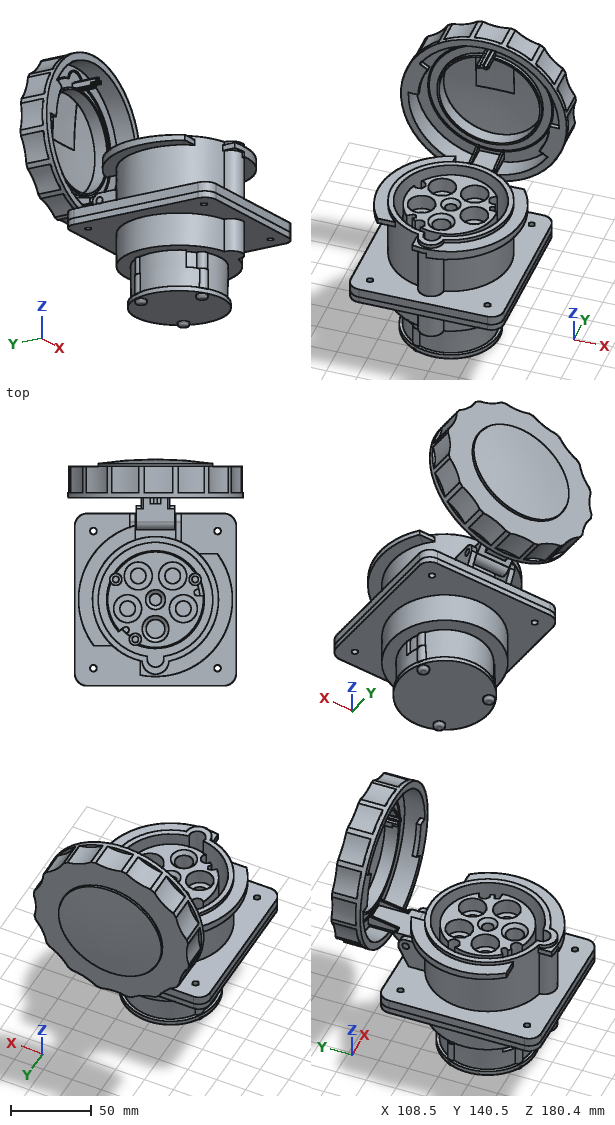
import cadquery as cq
import math


flange_x, flange_y = 100.3, 107.0
flange_thickness = 6.07
gasket_thickness = 4.23
corner_radius = 8.0
mount_hole_radius = 2.0
mount_hole_x, mount_hole_y = 38.45, 42.5

barrel_radius = 39.05
barrel_bore_radius = 35.5
barrel_top = 40.65
barrel_bottom = -31.5
barrel_floor = -28.0
key_boss_y = -37.9
key_boss_radius = 8.3
key_slot_y = -36.6
key_slot_radius = 5.2

ramp_radius = 47.7
ramp_top = 38.2
ramp_thick_end = 31.5
ramp_thin_end = 34.6
ramp_sweep_angle = 130.0
ramp_sweep_width = 22.0
ramp_rise = ramp_thin_end - ramp_thick_end
ramp_rise_angle = 126.0
ramp_thin_edge_y = 28.45
front_ramp_edge_x = -9.4
rear_ramp_edge_x = -12.4

hinge_y, hinge_z = 48.4, 16.2
pin_radius = 2.3
bracket_inner_x, bracket_outer_x = 12.4, 16.1
knuckle_radius = 5.0
bracket_foot_y = 46.4
arm_knuckle_half_width = 12.0
arm_neck_half_width = 8.9
arm_rib_thickness = 1.4
arm_shoulder_y = 58.2
arm_shoulder_z = 18.8
arm_shoulder_slope_y = 56.4
arm_shoulder_drop = 1.0
arm_top = hinge_z + knuckle_radius
arm_bottom = 15.8
arm_rib_start_z = 21.8
arm_rib_end_z = 25.6

lid_z = 64.73
lid_radius = 108.55 / 2
lid_face = 63.0
lid_rim = 3.1
lid_back = 82.6
cap_plate_radius = 35.6
cap_plate_back = 84.3
dome_back = 87.0
cavity_radius = 49.3
cavity_floor = 76.5
recess_radius = 33.0
recess_edge_y = 83.0
recess_centre_y = 85.3
inner_lip_radius = 34.3
inner_lip_face = 74.0
seal_lip_radius = 41.0
seal_lip_width = 0.7
seal_lip_height = 0.5
seal_bulge_offset = 38.2
seal_bulge_radius = 8.5
label_width, label_depth = 24.8, 0.2
scallop_count = 16
scallop_radius = 32.0
scallop_depth = 2.0
scallop_phase = 88.0
lug_inner_radius = 43.0
lug_thickness = 3.0
lug_start_angle, lug_sweep = 148.0, 30.0

key_front = 59.3
key_half_width = 3.2
key_bottom, key_top = 34.0, 37.7
key_tip_bottom = 35.8
key_nub_half_width, key_nub_top = 1.0, 39.2
key_channel_half_width, key_channel_top = 1.8, 36.3
key_rib_half_width, key_rib_top = 0.6, 34.7

insert_top = 37.7
insert_bottom = -55.8
insert_top_radius = 29.6
insert_radius = 30.3
insert_bottom_radius = 30.0
contact_circle = 18.15
contact_count = 5
phase_radius, phase_depth = 8.65, 10.2
contact_radius = 4.8
earth_radius, earth_mouth_radius = 5.8, 8.25
pilot_radius, pilot_mouth_radius = 3.7, 6.15
contact_hole_depth = 60.0

post_circle = 27.6
post_radius = 3.7
post_foot_radius = 3.9
post_top = 0.0
post_angles = [27.0, 153.0, -117.0]
notched_post_angles = [27.0, -117.0]
tabbed_post_angle = -117.0
notch_bottom = -42.5
notch_slot_y = 4.4
notch_slot_half_width = 1.9
notch_slot_inner_x = 25.8
notch_floor_radius = 27.6
cover_radius = 32.0
cover_thickness = 3.1
screw_shank_radius = 2.0
screw_head_radius = 3.8
screw_head_height = 2.5
screw_head_edge = 0.9
screw_head_flat_radius = 1.6


def cylinder(radius, bottom, top, x=0.0, y=0.0):
    """Cylinder along Z between two heights."""
    return cq.Workplane("XY", origin=(x, y, bottom)).circle(radius).extrude(top - bottom)


def block(x_min, x_max, y_min, y_max, z_min, z_max):
    """Box given by its six limits."""
    size = (x_max - x_min, y_max - y_min, z_max - z_min)
    return cq.Workplane("XY").box(*size, centered=False).translate((x_min, y_min, z_min))


def polar(radius, angle):
    """Point at a radius and an angle in degrees."""
    turn = math.radians(angle)
    return radius * math.cos(turn), radius * math.sin(turn)


def side_profile(points, x_min, x_max):
    """Prism along X whose outline is given as (y, z) points."""
    return cq.Workplane("YZ", origin=(x_min, 0, 0)).polyline(points).close().extrude(x_max - x_min)


def hinge_cylinder(radius, half_width):
    """Cylinder on the hinge axis, centred in X."""
    return (
        cq.Workplane("YZ", origin=(-half_width, hinge_y, hinge_z)).circle(radius).extrude(2 * half_width)
    )




def plate(bottom, top):
    """Rounded rectangular plate with the four mounting holes."""
    hole_places = [(sx * mount_hole_x, sy * mount_hole_y) for sx in (-1, 1) for sy in (-1, 1)]
    blank = block(-flange_x / 2, flange_x / 2, -flange_y / 2, flange_y / 2, bottom, top)
    blank = blank.edges("|Z").fillet(corner_radius)
    holes = cq.Workplane("XY", origin=(0, 0, bottom)).pushPoints(hole_places)
    return blank.cut(holes.circle(mount_hole_radius).extrude(top - bottom))


def barrel():
    """Outer form of the barrel with its key boss."""
    boss = cylinder(key_boss_radius, barrel_bottom, barrel_top, y=key_boss_y)
    return cylinder(barrel_radius, barrel_bottom, barrel_top).union(boss)


def barrel_cavity():
    """Space inside the barrel, with the key slot and an opening for the insert.

    A tab in the opening fills one of the insert's notches.
    """
    bore = cylinder(barrel_bore_radius, barrel_floor, barrel_top)
    slot = cylinder(key_slot_radius, barrel_floor, barrel_top, y=key_slot_y)
    opening = cylinder(insert_radius, barrel_bottom, barrel_floor)
    opening = opening.cut(post_notch(tabbed_post_angle))
    cavity = bore.union(slot).union(opening)
    for angle in post_angles:
        place = polar(post_circle, angle)
        cavity = cavity.union(cylinder(post_radius, barrel_bottom, barrel_floor, *place))
    return cavity


def collar(inner_radius, bottom):
    """Flat ring from a given height up to the top of the bayonet collar."""
    return cylinder(ramp_radius, bottom, ramp_top).cut(cylinder(inner_radius, bottom, ramp_top))


def bayonet_ramp(start_angle, region):
    """Collar part whose underside climbs as a helix from start_angle, cut off by region."""
    inner_radius = (barrel_radius + barrel_bore_radius) / 2
    pitch = ramp_rise * 360 / ramp_rise_angle
    path = cq.Wire.makeHelix(pitch, pitch * ramp_sweep_angle / 360, ramp_radius)
    helix_ramp = (
        cq.Workplane("XZ")
        .moveTo(ramp_radius, (ramp_top - ramp_thick_end) / 2)
        .rect(ramp_sweep_width, ramp_top - ramp_thick_end)
        .sweep(cq.Workplane(path), isFrenet=True)
        .rotate((0, 0, 0), (0, 0, 1), start_angle)
        .translate((0, 0, ramp_thick_end))
    )
    ramp = collar(inner_radius, ramp_thick_end).intersect(helix_ramp)
    return collar(inner_radius, ramp_thin_end).union(ramp).intersect(region)


def hinge_bracket(x_min, x_max):
    """Cheek that carries the hinge pin."""
    tip_y = hinge_y + knuckle_radius
    root_y = math.sqrt(barrel_bore_radius**2 - bracket_outer_x**2)
    cheek = side_profile(
        [
            (root_y, 0),
            (bracket_foot_y, 0),
            (tip_y, hinge_z - pin_radius),
            (tip_y, hinge_z),
            (hinge_y, arm_top),
            (root_y, arm_top),
        ],
        x_min,
        x_max,
    )
    knuckle = hinge_cylinder(knuckle_radius, bracket_outer_x)
    return cheek.union(knuckle.intersect(block(x_min, x_max, 0, flange_y, 0, lid_z)))


def housing_body():
    body = plate(-flange_thickness, 0).union(barrel())
    reach = flange_x
    front = block(front_ramp_edge_x, reach, -reach, ramp_thin_edge_y, 0, ramp_top)
    rear = block(-reach, rear_ramp_edge_x, -ramp_thin_edge_y, reach, 0, ramp_top)
    body = body.union(bayonet_ramp(-90, front)).union(bayonet_ramp(90, rear))
    body = body.union(hinge_bracket(-bracket_outer_x, -bracket_inner_x))
    body = body.union(hinge_bracket(bracket_inner_x, bracket_outer_x))
    return body.cut(barrel_cavity()).cut(hinge_cylinder(pin_radius, bracket_outer_x))


def gasket_body():
    return plate(-flange_thickness - gasket_thickness, -flange_thickness).cut(barrel())




def lid_disc(radius, front, back, offset=0.0):
    """Disc on the lid axis, or above it by offset, between two Y planes."""
    return (
        cq.Workplane("XZ", origin=(0, front, lid_z)).center(0, offset).circle(radius).extrude(front - back)
    )


def lid_block(half_width, bottom, top, front, back):
    """Block centred in X, with its heights measured from the lid axis."""
    return block(-half_width, half_width, front, back, lid_z + bottom, lid_z + top)


def domed_disc(radius, front, edge, centre):
    """Disc whose back bulges as a sphere from edge to centre, with its seam turned to -Z."""
    rise = centre - edge
    sphere_radius = (radius**2 + rise**2) / (2 * rise)
    middle = (radius / 2, centre - sphere_radius + math.sqrt(sphere_radius**2 - radius**2 / 4))
    return (
        cq.Workplane("XY", origin=(0, 0, lid_z))
        .moveTo(0, front)
        .lineTo(radius, front)
        .lineTo(radius, edge)
        .threePointArc(middle, (0, centre))
        .close()
        .revolve(360, (0, 0, 0), (0, 1, 0))
        .rotate((0, 0, lid_z), (0, 1, lid_z), 90)
    )


def scallop(angle):
    """Finger grip: a round hollow in the lid side, behind its rim."""
    centre_x, centre_z = polar(lid_radius - scallop_depth + scallop_radius, angle)
    hollow = lid_disc(scallop_radius, lid_face + lid_rim, lid_back, centre_z)
    return hollow.translate((centre_x, 0, 0))


def lid_lug(start_angle):
    """Bayonet lug: a ring sector at the lid face."""
    end_angle = start_angle + lug_sweep
    middle_angle = start_angle + lug_sweep / 2
    outer_radius = (cavity_radius + lid_radius) / 2
    return (
        cq.Workplane("XZ", origin=(0, lid_face, lid_z))
        .moveTo(*polar(lug_inner_radius, start_angle))
        .threePointArc(polar(lug_inner_radius, middle_angle), polar(lug_inner_radius, end_angle))
        .lineTo(*polar(outer_radius, end_angle))
        .threePointArc(polar(outer_radius, middle_angle), polar(outer_radius, start_angle))
        .close()
        .extrude(-lug_thickness)
    )


def seal_outline(inset):
    """Disc with a bulge for the key boss, reduced by inset."""
    front = cavity_floor - seal_lip_height
    round_part = lid_disc(seal_lip_radius - inset, front, cavity_floor)
    return round_part.union(lid_disc(seal_bulge_radius - inset, front, cavity_floor, seal_bulge_offset))


def lid_key():
    """Channel-shaped key that stands up from the lid floor."""
    key = lid_block(key_half_width, key_bottom, key_top, key_front, cavity_floor)
    key = key.union(lid_block(key_nub_half_width, key_top, key_nub_top, key_front, cavity_floor))
    key = key.cut(lid_block(key_channel_half_width, key_bottom, key_channel_top, key_front, cavity_floor))
    key = key.union(lid_block(key_rib_half_width, key_bottom, key_rib_top, key_front, cavity_floor))
    return key.cut(lid_block(key_half_width, key_bottom, key_tip_bottom, key_front, lid_face))


def hinge_arm():
    """Arm from the lid floor to the hinge pin, with a raised rib along each side."""
    tip_y = hinge_y + knuckle_radius
    shoulder = side_profile(
        [
            (hinge_y, arm_top),
            (arm_shoulder_slope_y, arm_top),
            (arm_shoulder_y, arm_top - arm_shoulder_drop),
            (arm_shoulder_y, arm_shoulder_z),
            (tip_y, hinge_z - pin_radius),
            (hinge_y, hinge_z),
        ],
        -arm_knuckle_half_width,
        arm_knuckle_half_width,
    )
    arm = shoulder.union(hinge_cylinder(knuckle_radius, arm_knuckle_half_width))
    web_half_width = arm_neck_half_width - arm_rib_thickness
    arm = arm.union(block(-web_half_width, web_half_width, tip_y, cavity_floor, arm_bottom, arm_top))
    for x_min in (-arm_neck_half_width, web_half_width):
        rib = [
            (arm_shoulder_slope_y, arm_shoulder_z),
            (cavity_floor, arm_shoulder_z),
            (cavity_floor, arm_rib_end_z),
            (arm_shoulder_slope_y, arm_rib_start_z),
        ]
        arm = arm.union(side_profile(rib, x_min, x_min + arm_rib_thickness))
    return arm.cut(hinge_cylinder(pin_radius, arm_knuckle_half_width))


def label_pocket():
    """Shallow pocket in the upper middle of the recess ceiling, following its dome."""
    deeper_dome = domed_disc(
        recess_radius, inner_lip_face, recess_edge_y + label_depth, recess_centre_y + label_depth
    )
    return deeper_dome.intersect(lid_block(label_width / 2, 0, recess_radius, inner_lip_face, dome_back))


def lid_body():
    body = lid_disc(lid_radius, lid_face, lid_back)
    for i in range(scallop_count):
        body = body.cut(scallop(scallop_phase + i * 360 / scallop_count))
    body = body.union(domed_disc(cap_plate_radius, cavity_floor, cap_plate_back, dome_back))
    body = body.cut(lid_disc(cavity_radius, lid_face, cavity_floor))
    body = body.union(seal_outline(0).cut(seal_outline(seal_lip_width)))
    body = body.union(lid_disc(inner_lip_radius, inner_lip_face, cavity_floor))
    body = body.cut(domed_disc(recess_radius, inner_lip_face, recess_edge_y, recess_centre_y))
    body = body.cut(label_pocket())
    body = body.union(lid_lug(lug_start_angle)).union(lid_lug(lug_start_angle + 180))
    return body.union(lid_key()).union(hinge_arm())


def hinge_pin_body():
    return hinge_cylinder(pin_radius, bracket_outer_x)




def hole(radius, depth, x, y):
    return cylinder(radius, insert_top - depth, insert_top, x, y)


def countersink(mouth_radius, radius, x, y):
    """45 degree cone from the mouth at the insert top down to the hole radius."""
    depth = mouth_radius - radius
    cone = cq.Solid.makeCone(radius, mouth_radius, depth, pnt=cq.Vector(x, y, insert_top - depth))
    return cq.Workplane(cone)


def contact_holes():
    """Four stepped phase holes, the wider earth hole at -Y and the central pilot hole."""
    holes = hole(pilot_radius, contact_hole_depth, 0, 0)
    holes = holes.union(countersink(pilot_mouth_radius, pilot_radius, 0, 0))
    earth = polar(contact_circle, -90)
    holes = holes.union(hole(earth_radius, contact_hole_depth, *earth))
    holes = holes.union(countersink(earth_mouth_radius, earth_radius, *earth))
    for i in range(1, contact_count):
        place = polar(contact_circle, -90 + i * 360 / contact_count)
        holes = holes.union(hole(phase_radius, phase_depth, *place))
        holes = holes.union(hole(contact_radius, contact_hole_depth, *place))
    return holes


def post_notch(angle):
    """Rounded slot beside a screw post, and the shallow recess that joins the two."""
    first_angle = post_angles[0]
    slot_bottom_y = notch_slot_y - notch_slot_half_width
    slot_top_y = notch_slot_y + notch_slot_half_width
    post_y = polar(post_circle, first_angle)[1]
    reach = cover_radius
    slot = block(notch_slot_inner_x, reach, slot_bottom_y, slot_top_y, barrel_floor, insert_top)
    end = cylinder(notch_slot_half_width, barrel_floor, insert_top, notch_slot_inner_x, notch_slot_y)
    recess = block(0, reach, slot_bottom_y, post_y, notch_bottom, insert_top)
    recess = recess.cut(cylinder(notch_floor_radius, notch_bottom, insert_top))
    notch = slot.union(end).union(recess)
    return notch.rotate((0, 0, 0), (0, 0, 1), angle - first_angle)


def insert_body():
    body = (
        cq.Workplane("XZ")
        .polyline(
            [
                (0, insert_bottom),
                (insert_bottom_radius, insert_bottom),
                (insert_radius, barrel_bottom),
                (insert_radius, barrel_floor),
                (insert_top_radius, insert_top),
                (0, insert_top),
            ]
        )
        .close()
        .revolve(360, (0, 0, 0), (0, 1, 0))
    )
    for angle in notched_post_angles:
        body = body.cut(post_notch(angle))
    for angle in post_angles:
        place = polar(post_circle, angle)
        body = body.cut(cylinder(post_radius, post_top, insert_top, *place))
        body = body.union(cylinder(post_radius, insert_bottom, post_top, *place))
        body = body.union(cylinder(post_foot_radius, insert_bottom, notch_bottom, *place))
        body = body.cut(cylinder(screw_shank_radius, insert_bottom, post_top, *place))
    return body.cut(contact_holes())


def cover_body():
    cover_bottom = insert_bottom - cover_thickness
    cover = cylinder(cover_radius, cover_bottom, insert_bottom)
    for angle in post_angles:
        place = polar(post_circle, angle)
        cover = cover.cut(cylinder(screw_shank_radius, cover_bottom, insert_bottom, *place))
    return cover


def screw_body(angle):
    """Domed screw from below the cover up to the top of its post."""
    head_top = insert_bottom - cover_thickness
    edge = head_top - screw_head_edge
    head_bottom = head_top - screw_head_height
    middle_share = math.cos(math.radians(45))
    middle = (
        screw_head_flat_radius + (screw_head_radius - screw_head_flat_radius) * middle_share,
        edge - (edge - head_bottom) * middle_share,
    )
    screw = (
        cq.Workplane("XZ")
        .moveTo(0, post_top)
        .lineTo(screw_shank_radius, post_top)
        .lineTo(screw_shank_radius, head_top)
        .lineTo(screw_head_radius, head_top)
        .lineTo(screw_head_radius, edge)
        .threePointArc(middle, (screw_head_flat_radius, head_bottom))
        .lineTo(0, head_bottom)
        .close()
        .revolve(360, (0, 0, 0), (0, 1, 0))
    )
    return screw.translate((*polar(post_circle, angle), 0))


housing = housing_body()
gasket = gasket_body()
lid = lid_body()
hinge_pin = hinge_pin_body()
contact_insert = insert_body()
cover = cover_body()
screws = [screw_body(angle) for angle in post_angles]

result = cq.Compound.makeCompound(
    [
        housing.val(),
        gasket.val(),
        lid.val(),
        hinge_pin.val(),
        contact_insert.val(),
        cover.val(),
        *[screw.val() for screw in screws],
    ]
)